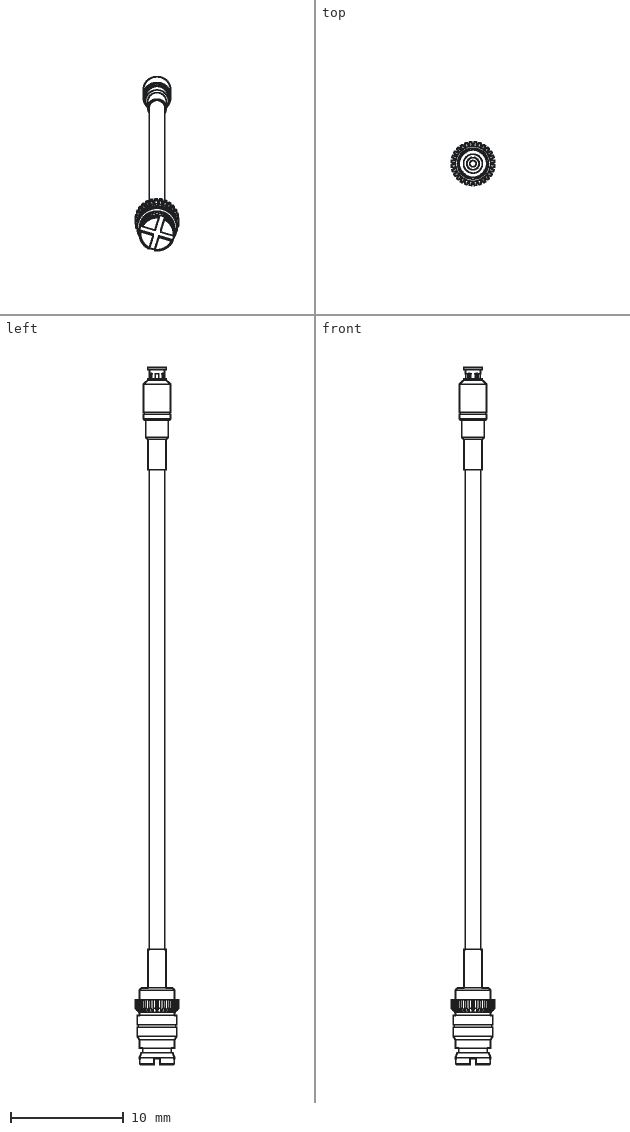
import cadquery as cq


TOTAL_LENGTH = 61.92

CABLE_RADIUS = 0.70
SLEEVE_RADIUS = 0.82
LOWER_SLEEVE_LENGTH = 3.4
UPPER_SLEEVE_LENGTH = 2.7

RIM_RADIUS = 1.944
BARREL_RADIUS = 1.76
COLLAR_RADIUS = 1.57
END_LIP_TOP_RADIUS = 1.4
LIP_NECK_RADIUS = 1.28
BARREL_GROOVE_DEPTH = 0.08

END_LIP_CHAMFER = 0.12
END_LIP_LAND_TOP = 0.65
END_LIP_TOP = 1.1
LIP_NECK_TOP = 1.49
SHOULDER_TOP = 2.22
BARREL_BOTTOM = 2.55
BARREL_GROOVE_BOTTOM = 3.36
BARREL_GROOVE_TOP = 3.56
BARREL_TOP = 4.4
RIM_BOTTOM = 5.04
RIM_TOP = 5.78
LOWER_CONNECTOR_TOP = 6.85
COLLAR_CHAMFER = 0.2
END_SLOT_DEPTH = 0.56
END_SLOT_WIDTH = 0.5

TOOTH_COUNT = 28
KNURL_GROOVE_WIDTH = 0.24
KNURL_ROOT_RADIUS = 1.5
KNURL_OVERCUT = 0.1
KNURL_BOTTOM = 4.66

LIP_RADIUS = 0.84
NECK_RADIUS = 0.68
BODY_RADIUS = 1.22
TAIL_RADIUS = 1.02
BORE_RADIUS = 0.54
PIN_RADIUS = 0.28

LIP_THICKNESS = 0.22
NECK_END = 1.0
CONE_START = 1.15
CONE_END = 1.5
BODY_END = 4.0
RING_START = 4.15
RING_END = 4.7
RING_CHAMFER = 0.12
TAIL_END = 6.4
TAIL_CHAMFER = 0.2
RING_GROOVE_DEPTH = 0.08
BORE_DEPTH = 1.0
NECK_WINDOW_WIDTH = 0.3
NECK_WINDOW_TOP = 0.56
NECK_WINDOW_CUTS = 3

UPPER_CONNECTOR_BOTTOM = TOTAL_LENGTH - TAIL_END


def revolve_profile(steps):
    """Solid of revolution about Z from (radius, height) points listed upwards."""
    outline = [(0, steps[0][1])] + steps + [(0, steps[-1][1])]
    return cq.Workplane("XZ").polyline(outline).close().revolve(360, (0, 0), (0, 1))


def cylinder(radius, bottom, top):
    return cq.Workplane("XY").workplane(offset=bottom).circle(radius).extrude(top - bottom)


def diametral_slots(count, width, bottom, top):
    """Slabs across the axis, evenly turned, the first one along X."""
    slots = cq.Workplane("XY")
    for i in range(count):
        slab = (
            cq.Workplane("XY")
            .workplane(offset=bottom)
            .rect(2 * RIM_RADIUS, width)
            .extrude(top - bottom)
            .rotate((0, 0, 0), (0, 0, 1), i * 180 / count)
        )
        slots = slots.union(slab)
    return slots


def knurl_grooves():
    """V-shaped axial grooves around the rim; each V runs on past the rim so that it cuts cleanly."""
    mouth_radius = RIM_RADIUS + KNURL_OVERCUT
    widening = (mouth_radius - KNURL_ROOT_RADIUS) / (RIM_RADIUS - KNURL_ROOT_RADIUS)
    half_mouth = KNURL_GROOVE_WIDTH / 2 * widening
    groove = (
        cq.Workplane("XY")
        .workplane(offset=KNURL_BOTTOM)
        .polyline([(KNURL_ROOT_RADIUS, 0), (mouth_radius, -half_mouth), (mouth_radius, half_mouth)])
        .close()
        .extrude(RIM_TOP - KNURL_BOTTOM)
    )
    grooves = [groove.rotate((0, 0, 0), (0, 0, 1), i * 360 / TOOTH_COUNT).val() for i in range(TOOTH_COUNT)]
    return cq.Workplane(cq.Compound.makeCompound(grooves))


def make_lower_connector():
    groove_radius = BARREL_RADIUS - BARREL_GROOVE_DEPTH
    body = revolve_profile([
        (COLLAR_RADIUS - END_LIP_CHAMFER, 0),
        (COLLAR_RADIUS, END_LIP_CHAMFER),
        (COLLAR_RADIUS, END_LIP_LAND_TOP),
        (END_LIP_TOP_RADIUS, END_LIP_TOP),
        (LIP_NECK_RADIUS, END_LIP_TOP),
        (LIP_NECK_RADIUS, LIP_NECK_TOP),
        (COLLAR_RADIUS, LIP_NECK_TOP),
        (COLLAR_RADIUS, SHOULDER_TOP),
        (BARREL_RADIUS, BARREL_BOTTOM),
        (BARREL_RADIUS, BARREL_GROOVE_BOTTOM),
        (groove_radius, BARREL_GROOVE_BOTTOM),
        (groove_radius, BARREL_GROOVE_TOP),
        (BARREL_RADIUS, BARREL_GROOVE_TOP),
        (BARREL_RADIUS, BARREL_TOP),
        (COLLAR_RADIUS, BARREL_TOP),
        (COLLAR_RADIUS, KNURL_BOTTOM),
        (RIM_RADIUS, RIM_BOTTOM),
        (RIM_RADIUS, RIM_TOP),
        (COLLAR_RADIUS, RIM_TOP),
        (COLLAR_RADIUS, LOWER_CONNECTOR_TOP - COLLAR_CHAMFER),
        (COLLAR_RADIUS - COLLAR_CHAMFER, LOWER_CONNECTOR_TOP),
    ])
    body = body.cut(diametral_slots(2, END_SLOT_WIDTH, 0, END_SLOT_DEPTH))
    return body.cut(knurl_grooves())


def make_upper_connector():
    ring_groove_radius = BODY_RADIUS - RING_GROOVE_DEPTH
    depths = [
        (TAIL_RADIUS - TAIL_CHAMFER, TAIL_END),
        (TAIL_RADIUS, TAIL_END - TAIL_CHAMFER),
        (TAIL_RADIUS, RING_END),
        (BODY_RADIUS - RING_CHAMFER, RING_END),
        (BODY_RADIUS, RING_END - RING_CHAMFER),
        (BODY_RADIUS, RING_START),
        (ring_groove_radius, RING_START),
        (ring_groove_radius, BODY_END),
        (BODY_RADIUS, BODY_END),
        (BODY_RADIUS, CONE_END),
        (LIP_RADIUS, CONE_START),
        (LIP_RADIUS, NECK_END),
        (NECK_RADIUS, NECK_END),
        (NECK_RADIUS, LIP_THICKNESS),
        (LIP_RADIUS, LIP_THICKNESS),
        (LIP_RADIUS, 0),
    ]
    body = revolve_profile([(radius, TOTAL_LENGTH - depth) for radius, depth in depths])
    pin = cylinder(PIN_RADIUS, TOTAL_LENGTH - BORE_DEPTH, TOTAL_LENGTH)
    bore = cylinder(BORE_RADIUS, TOTAL_LENGTH - BORE_DEPTH, TOTAL_LENGTH)
    windows = diametral_slots(
        NECK_WINDOW_CUTS, NECK_WINDOW_WIDTH, TOTAL_LENGTH - NECK_END, TOTAL_LENGTH - NECK_WINDOW_TOP
    )
    return body.cut(bore.union(windows).cut(pin))


def make_sleeve(bottom, length):
    return cylinder(SLEEVE_RADIUS, bottom, bottom + length).cut(
        cylinder(CABLE_RADIUS, bottom, bottom + length)
    )


lower_connector = make_lower_connector()
upper_connector = make_upper_connector()
lower_sleeve = make_sleeve(LOWER_CONNECTOR_TOP, LOWER_SLEEVE_LENGTH)
upper_sleeve = make_sleeve(UPPER_CONNECTOR_BOTTOM - UPPER_SLEEVE_LENGTH, UPPER_SLEEVE_LENGTH)
cable = cylinder(CABLE_RADIUS, LOWER_CONNECTOR_TOP, UPPER_CONNECTOR_BOTTOM)

result = cq.Compound.makeCompound([
    lower_connector.val(),
    lower_sleeve.val(),
    cable.val(),
    upper_sleeve.val(),
    upper_connector.val(),
])